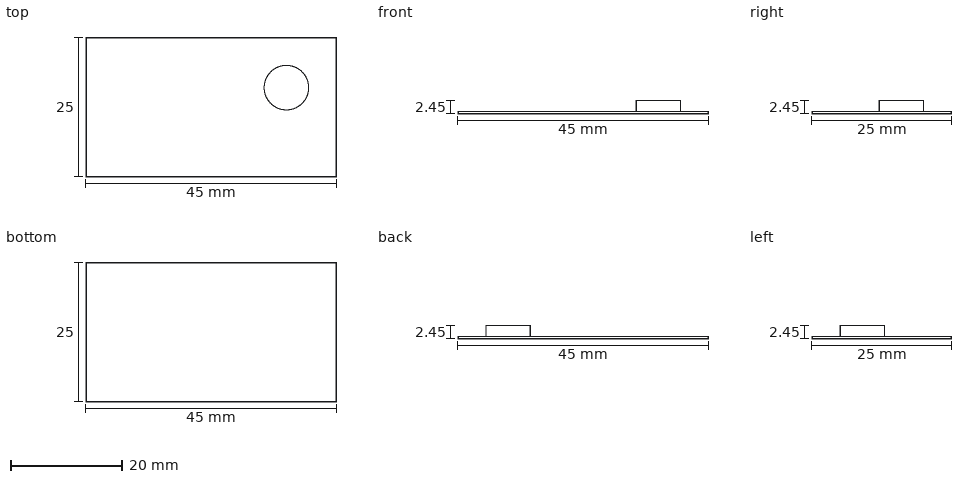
import cadquery as cq

plate_length = 45.0
plate_width = 25.0
plate_thickness = 0.45

disc_diameter = 8.0
disc_height = 2.0
disc_edge_distance = 9.0
disc_x = plate_length - disc_edge_distance
disc_y = plate_width - disc_edge_distance


def make_plate():
    """Thin flat rectangular plate."""
    return cq.Workplane("XY").box(plate_length, plate_width, plate_thickness, centered=False)


def make_disc():
    """Disc resting on the top face of the plate."""
    return (
        cq.Workplane("XY", origin=(disc_x, disc_y, plate_thickness))
        .circle(disc_diameter / 2)
        .extrude(disc_height)
    )


plate = make_plate()
disc = make_disc()

result = cq.Compound.makeCompound([plate.val(), disc.val()])